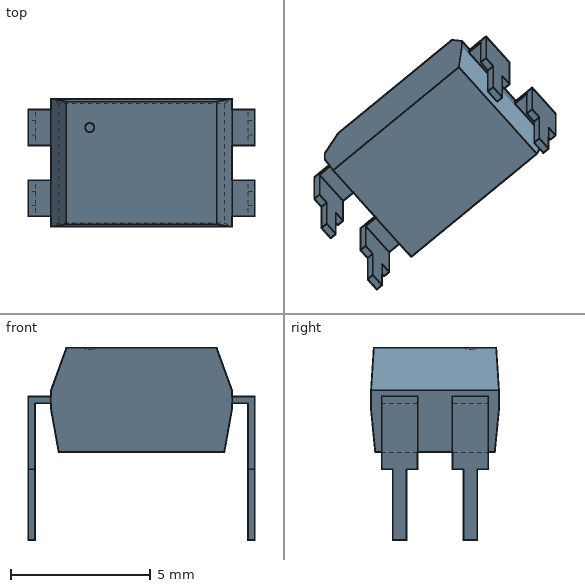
import cadquery as cq

belt_length = 6.5
belt_width = 4.6
top_length = 5.39
top_width = 4.4
bottom_length = 5.95
bottom_width = 4.3
belt_height = 0.69
upper_height = 1.53
lower_height = 1.53

lead_span = 8.13
lead_pitch = 2.54
lead_thickness = 0.25
shoulder_width = 1.3
tip_width = 0.51
tip_length = 2.54
shoulder_top = 5.16

mark_diameter = 0.33
mark_depth = 0.05
mark_x = -1.86
mark_y = lead_pitch / 2

housing_top = 6.91
belt_top = housing_top - upper_height
belt_bottom = belt_top - belt_height


def make_taper(level, end_length, end_width, offset):
    """Frustum from the belt outline at the given level to an end face at the signed offset."""
    return (
        cq.Workplane("XY", origin=(0, 0, level))
        .rect(belt_length, belt_width)
        .workplane(offset=offset)
        .rect(end_length, end_width)
        .loft(ruled=True)
    )


def make_mark():
    """Disc whose upper face is level with the top of the housing."""
    return (
        cq.Workplane("XY", origin=(mark_x, mark_y, housing_top))
        .circle(mark_diameter / 2)
        .extrude(-mark_depth)
    )


def make_housing():
    """Moulded block with a recess for the mark."""
    belt = (
        cq.Workplane("XY", origin=(0, 0, belt_bottom))
        .rect(belt_length, belt_width)
        .extrude(belt_height)
    )
    upper = make_taper(belt_top, top_length, top_width, upper_height)
    lower = make_taper(belt_bottom, bottom_length, bottom_width, -lower_height)
    return belt.union(upper).union(lower).cut(make_mark())


def make_lead(side, y):
    """Lead centred on y; side is -1 for the -X row and 1 for the +X row."""
    outer_x = side * lead_span / 2
    inner_x = outer_x - side * lead_thickness
    housing_x = side * belt_length / 2
    shoulder = (
        cq.Workplane("XZ", origin=(0, y, 0))
        .moveTo(housing_x, shoulder_top)
        .lineTo(outer_x, shoulder_top)
        .lineTo(outer_x, tip_length)
        .lineTo(inner_x, tip_length)
        .lineTo(inner_x, shoulder_top - lead_thickness)
        .lineTo(housing_x, shoulder_top - lead_thickness)
        .close()
        .extrude(shoulder_width / 2, both=True)
    )
    tip = (
        cq.Workplane("XY", origin=((outer_x + inner_x) / 2, y, 0))
        .rect(lead_thickness, tip_width)
        .extrude(tip_length)
    )
    return shoulder.union(tip)


housing = make_housing()
mark = make_mark()
leads = [
    make_lead(side, row * lead_pitch / 2)
    for side in (-1, 1)
    for row in (-1, 1)
]

result = cq.Compound.makeCompound([housing.val(), mark.val(), *[lead.val() for lead in leads]])